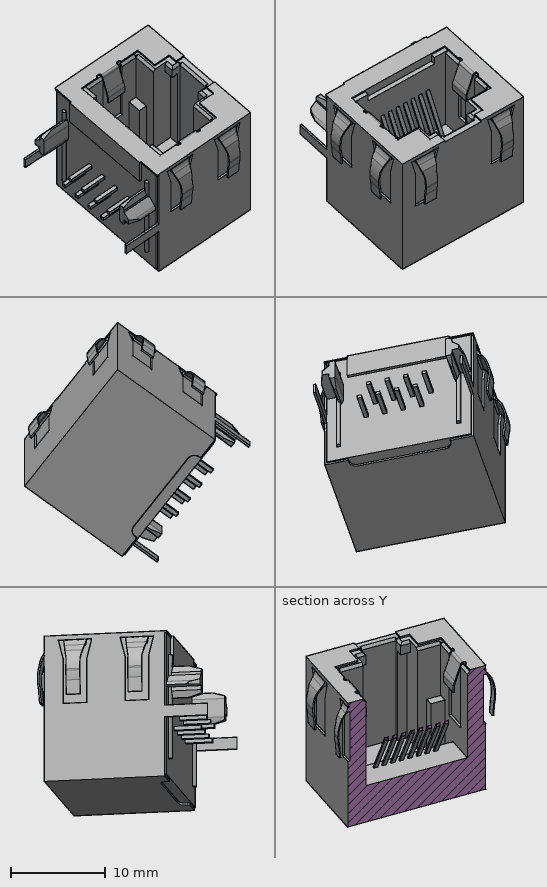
import cadquery as cq
import math


half_width = 8.12
height = 15.75
sheet = 0.25
shield_front = -12.94
housing_front = -13.09
cap_thickness = 0.2
cap_front = -13.16
cap_bottom = height - cap_thickness
pad_half_width = 5.56
pad_bottom = 12.7
pad_front = -13.37
bottom_notch_depth = 1.03

mouth_half_width = 6.23
mouth_back = -3.15
mouth_front = -11.06
cap_slot_half_width = 2.43
cap_shoulder_half_width = 3.54
cap_shoulder_back = -1.12
rim_inset = 0.3
rim_depth = rim_inset
cavity_front = -10.54
cavity_back = -3.67
cavity_half_width = mouth_half_width - rim_inset
latch_half_width = 2.04
latch_back = -0.92
shoulder_half_width = 3.18
shoulder_back = -1.25
floor_z = 2.8
lug_front = -2.02
lug_bottom = 14.1
sill_half_width = 4.44
sill_z = 14.6

corner_block_inner = 4.29
corner_block_front = -4.65
corner_block_top = 8.8
contact_block_top = 4.68
contact_block_back = -6.05
contact_block_bevel = 0.52
contact_back = -7.15
contact_top = 11.23
contact_thickness = 0.22

pin_count = 8
pin_pitch = 1.01
pin_width = 0.45
pin_height = 0.41
pin_end = -15.99
pin_row_z = (6.15, 7.95)

rib_center = 6.55
rib_width = 0.43
rib_radius = rib_width / 2
rib_front = -13.46
rib_bottom = 2.23
rib_top = 13.45
peg_center = 6.36
peg_half_width = 0.35
peg_top = 12.2
peg_bottom = 8.8
peg_shoulder = 0.71
peg_bulge = 0.28
peg_tip_half_width = 0.11
peg_end = -16.59
peg_taper_start = -15.3
peg_taper = 0.4
barb_tip = 7.86
barb_top = 11.2
barb_bottom = 9.94
barb_taper = 0.43
barb_round_width = 0.22
barb_round_height = 0.4
tang_end = -17.52
tang_bottom = 6.42
tang_top = 7.7

tab_reach = 1.2
tab_thickness = 0.19
tab_top = 15.2
tab_root_bend = 14.56
tab_upper_bend = 13.89
tab_crest = 11.8
tab_lower_bend = 10.61
tab_bottom = 9.1
tab_root_reach = 0.28
tab_upper_reach = 0.75
tab_lower_bend_inset = 0.11
tab_tip_inset = 0.22
tab_top_half_width = 1.24
tab_half_width = 0.75
tab_taper_end = 13.03
window_top = 15.24
window_taper_end = 13.16
window_bottom = 8.37
window_top_half_width = 1.8
window_half_width = 1.27
side_tab_y = (-3.3, -9.94)
back_tab_x = 5.1

spring_back = -5.99
spring_front = -8.31
spring_thickness = 0.15
spring_bend = 0.28
spring_slope_x = 5.28
spring_slope_end = 13.57
spring_tip_x = 5.1
spring_bend_end = 13.01
spring_bottom = 12.17
spring_pocket_bottom = 7.49
spring_pocket_back = -5.62
relief_radius = 0.25


def box(x0, x1, y0, y1, z0, z1):
    """Box between opposite corner coordinates given in any order."""
    size = (abs(x1 - x0), abs(y1 - y0), abs(z1 - z0))
    return cq.Workplane("XY").box(*size).translate(((x0 + x1) / 2, (y0 + y1) / 2, (z0 + z1) / 2))


def centered_box(half, y0, y1, z0, z1):
    return box(-half, half, y0, y1, z0, z1)


def prism(points, axis_plane, start, end):
    """Closed polygon on a named plane, extruded between two positions along +X or +Y."""
    profile = cq.Workplane(axis_plane).polyline(points).close().extrude(end - start)
    shift = (start, 0, 0) if axis_plane == "YZ" else (0, end, 0)
    return profile.translate(shift)


def both_sides(solid):
    return solid.union(solid.mirror("YZ"))


def stepped_outline(steps, front):
    """Mirror-symmetric plan outline from (half width, back Y) steps, narrowest step first."""
    right = []
    for index, (half, back) in enumerate(steps):
        right.append((half, back))
        next_back = steps[index + 1][1] if index + 1 < len(steps) else front
        right.append((half, next_back))
    left = [(-x, y) for x, y in reversed(right)]
    return cq.Workplane("XY").polyline(right + left).close()


def body():
    solid = centered_box(half_width, 0, shield_front, 0, cap_bottom)
    notch = centered_box(pad_half_width, shield_front, shield_front + bottom_notch_depth, 0, sheet)
    notch = notch.edges("|Z and >Y").fillet(bottom_notch_depth - sheet)
    solid = solid.cut(notch)
    solid = solid.union(centered_box(half_width - sheet, -sheet, housing_front, sheet, cap_bottom))
    solid = solid.union(centered_box(half_width, 0, cap_front, cap_bottom, height))
    return solid.union(centered_box(pad_half_width, shield_front, pad_front, pad_bottom, height))


def cavity():
    cap_opening = stepped_outline(
        [
            (cap_slot_half_width, 0),
            (cap_shoulder_half_width, cap_shoulder_back),
            (mouth_half_width, mouth_back),
        ],
        mouth_front,
    ).extrude(cap_thickness).translate((0, 0, cap_bottom))
    main = stepped_outline(
        [
            (latch_half_width, latch_back),
            (shoulder_half_width, shoulder_back),
            (cavity_half_width, cavity_back),
        ],
        cavity_front,
    ).extrude(cap_bottom - floor_z).translate((0, 0, floor_z))
    lug = box(latch_half_width, shoulder_half_width, shoulder_back, lug_front, lug_bottom, cap_bottom)
    main = main.cut(both_sides(lug))
    sill = centered_box(sill_half_width, mouth_front, cavity_front, sill_z, cap_bottom)
    pocket = box(
        cavity_half_width, mouth_half_width,
        spring_pocket_back, spring_front,
        spring_pocket_bottom, cap_bottom,
    )
    main = main.union(both_sides(pocket))
    return cap_opening.union(main).union(sill).union(lead_in())


def lead_in():
    """Sloped rim of the housing around the back, the lugs and both sides of the mouth."""
    z0 = cap_bottom - rim_depth

    def back_slope(half, back, front):
        points = [(back, z0), (back + rim_inset, cap_bottom), (front, cap_bottom), (front, z0)]
        return prism(points, "YZ", -half, half)

    def side_slope(half, back, front):
        points = [(0, z0), (half, z0), (half + rim_inset, cap_bottom), (0, cap_bottom)]
        return both_sides(prism(points, "XZ", front, back))

    slopes = back_slope(latch_half_width, latch_back, lug_front)
    slopes = slopes.union(back_slope(shoulder_half_width, lug_front, cavity_back))
    slopes = slopes.union(back_slope(cavity_half_width, cavity_back, cavity_front))
    slopes = slopes.union(side_slope(latch_half_width, latch_back, lug_front))
    return slopes.union(side_slope(cavity_half_width, cavity_back, cavity_front))


def cavity_blocks():
    corner = box(
        corner_block_inner, cavity_half_width, cavity_back, corner_block_front, floor_z, corner_block_top
    )
    contact_block = prism(
        [
            (cavity_front, floor_z),
            (contact_block_back, floor_z),
            (contact_block_back, contact_block_top - contact_block_bevel),
            (contact_block_back - contact_block_bevel, contact_block_top),
            (cavity_front, contact_block_top),
        ],
        "YZ", -cavity_half_width, cavity_half_width,
    )
    return contact_block.union(both_sides(corner))


def pins_and_contacts():
    solids = cq.Workplane("XY")
    contact_profile = [
        (contact_back, contact_block_top),
        (cavity_front, contact_top),
        (cavity_front, contact_top - 2 * contact_thickness),
        (contact_back - contact_thickness, contact_block_top),
    ]
    for index in range(pin_count):
        x = (index - (pin_count - 1) / 2) * pin_pitch
        z = pin_row_z[index % 2]
        left = x - pin_width / 2
        right = x + pin_width / 2
        pin = box(left, right, housing_front, pin_end, z - pin_height / 2, z + pin_height / 2)
        solids = solids.union(pin)
        solids = solids.union(prism(contact_profile, "YZ", left, right))
    return solids


def ribs():
    axis_y = rib_front + rib_radius
    rib = cq.Workplane("XY").circle(rib_radius).extrude(rib_top - rib_bottom)
    rib = rib.translate((rib_center, axis_y, rib_bottom))
    root = box(
        rib_center - rib_radius, rib_center + rib_radius, housing_front, axis_y, rib_bottom, rib_top
    )
    return both_sides(rib.union(root))


def pegs():
    outer = peg_center + peg_half_width
    inner = peg_center - peg_half_width
    tip_outer = peg_center + peg_tip_half_width
    tip_inner = peg_center - peg_tip_half_width
    profile = (
        cq.Workplane("XZ")
        .moveTo(tip_inner, peg_top)
        .lineTo(tip_outer, peg_top)
        .lineTo(outer, peg_top - peg_shoulder)
        .lineTo(outer, barb_top)
        .lineTo(barb_tip - barb_round_width, barb_bottom + barb_round_height)
        .threePointArc(
            (barb_tip - 0.3 * barb_round_width, barb_bottom + 0.6 * barb_round_height),
            (barb_tip, barb_bottom),
        )
        .lineTo(outer, barb_bottom)
        .lineTo(outer, peg_bottom + peg_shoulder)
        .lineTo(tip_outer, peg_bottom)
        .lineTo(tip_inner, peg_bottom)
        .threePointArc(
            (peg_center - peg_bulge, peg_bottom + peg_shoulder / 2), (inner, peg_bottom + peg_shoulder)
        )
        .lineTo(inner, peg_top - peg_shoulder)
        .threePointArc((peg_center - peg_bulge, peg_top - peg_shoulder / 2), (tip_inner, peg_top))
        .close()
    )
    peg = profile.extrude(housing_front - peg_end).translate((0, housing_front, 0))
    side_taper = prism(
        [
            (housing_front, peg_bottom),
            (peg_taper_start, peg_bottom),
            (peg_end, peg_bottom + peg_taper),
            (peg_end, peg_top - peg_taper),
            (peg_taper_start, peg_top),
            (housing_front, peg_top),
        ],
        "YZ", inner, barb_tip,
    )
    plan_taper = (
        cq.Workplane("XY")
        .polyline([
            (inner, housing_front),
            (barb_tip, housing_front),
            (barb_tip, peg_taper_start),
            (barb_tip - barb_taper, peg_end),
            (inner, peg_end),
        ])
        .close()
        .extrude(height)
    )
    return both_sides(peg.intersect(side_taper).intersect(plan_taper))


def tangs():
    return both_sides(
        box(half_width - sheet, half_width, shield_front, tang_end, tang_bottom, tang_top)
    )


def tapered_face(top_half, half, top, taper_end, bottom, depth):
    """Tab or window shape in the YZ plane, extruded along +X."""
    points = [
        (-top_half, top),
        (top_half, top),
        (half, taper_end),
        (half, bottom),
        (-half, bottom),
        (-half, taper_end),
    ]
    return cq.Workplane("YZ").polyline(points).close().extrude(depth)


def window():
    """Window in a sheet whose outer face lies at X = 0."""
    return tapered_face(
        window_top_half_width, window_half_width, window_top, window_taper_end, window_bottom, sheet
    ).translate((-sheet, 0, 0))


def spring_tab():
    """Bowed tab rooted in the top of its window; the sheet's outer face lies at X = 0."""
    crest_inner = tab_reach - tab_thickness
    lower_bend = tab_reach - tab_lower_bend_inset
    tip = tab_reach - tab_tip_inset
    root_mid_z = (tab_top + tab_root_bend) / 2
    slope = math.atan2(tab_root_bend - tab_upper_bend, tab_upper_reach - tab_root_reach)
    slope_x = tab_thickness * math.sin(slope)
    slope_z = tab_thickness * math.cos(slope)
    bow = (
        cq.Workplane("XZ")
        .moveTo(-sheet, tab_top)
        .lineTo(0, tab_top)
        .threePointArc((0.3 * tab_root_reach, root_mid_z), (tab_root_reach, tab_root_bend))
        .lineTo(tab_upper_reach, tab_upper_bend)
        .threePointArc((tab_reach, tab_crest), (lower_bend, tab_lower_bend))
        .lineTo(tip, tab_bottom)
        .lineTo(tip - tab_thickness, tab_bottom)
        .lineTo(lower_bend - tab_thickness, tab_lower_bend)
        .threePointArc((crest_inner, tab_crest), (tab_upper_reach - slope_x, tab_upper_bend - slope_z))
        .lineTo(tab_root_reach - slope_x, tab_root_bend - slope_z)
        .lineTo(0, tab_root_bend)
        .lineTo(-sheet, tab_root_bend)
        .close()
        .extrude(window_top_half_width, both=True)
    )
    outline = tapered_face(
        tab_top_half_width, tab_half_width, tab_top, tab_taper_end, tab_bottom, tab_reach + sheet
    ).translate((-sheet, 0, 0))
    return bow.intersect(outline)


def place_on_shield(feature):
    """One copy at each tab position: two on each side and two on the back."""
    copies = cq.Workplane("XY")
    for y in side_tab_y:
        copies = copies.union(both_sides(feature.translate((half_width, y, 0))))
    on_back = feature.rotate((0, 0, 0), (0, 0, 1), 90)
    return copies.union(both_sides(on_back.translate((back_tab_x, 0, 0))))


def mouth_springs():
    """Strips bent from the cap into the mouth, sloping inward to a straight vertical end."""
    shoulder_z = height - spring_bend
    spring_bend_x = spring_tip_x + 0.3 * (spring_slope_x - spring_tip_x)
    spring_bend_z = (spring_slope_end + spring_bend_end) / 2
    profile = (
        cq.Workplane("XZ")
        .moveTo(mouth_half_width + spring_thickness, height)
        .lineTo(mouth_half_width, height)
        .threePointArc(
            (mouth_half_width - 0.7 * spring_bend, height - 0.3 * spring_bend),
            (mouth_half_width - spring_bend, shoulder_z),
        )
        .lineTo(spring_slope_x, spring_slope_end)
        .threePointArc((spring_bend_x, spring_bend_z), (spring_tip_x, spring_bend_end))
        .lineTo(spring_tip_x, spring_bottom)
        .lineTo(spring_tip_x + spring_thickness, spring_bottom)
        .lineTo(spring_tip_x + spring_thickness, spring_bend_end)
        .lineTo(spring_slope_x + spring_thickness, spring_slope_end)
        .lineTo(mouth_half_width - spring_bend + spring_thickness, shoulder_z)
        .close()
    )
    spring = profile.extrude(spring_back - spring_front).translate((0, spring_back, 0))
    return both_sides(spring)


def mouth_reliefs():
    """Small round-ended notches in the cap beside each mouth spring."""
    notches = cq.Workplane("XY")
    for y in (spring_back + relief_radius, spring_front - relief_radius):
        notch = box(
            mouth_half_width - relief_radius, mouth_half_width + relief_radius,
            y - relief_radius, y + relief_radius, cap_bottom, height,
        ).edges("|Z and >X").fillet(relief_radius / 2)
        notches = notches.union(both_sides(notch))
    return notches


result = body().cut(cavity()).cut(mouth_reliefs()).cut(place_on_shield(window()))
for feature in (
    cavity_blocks(), pins_and_contacts(), ribs(), pegs(), tangs(),
    place_on_shield(spring_tab()), mouth_springs(),
):
    result = result.union(feature)